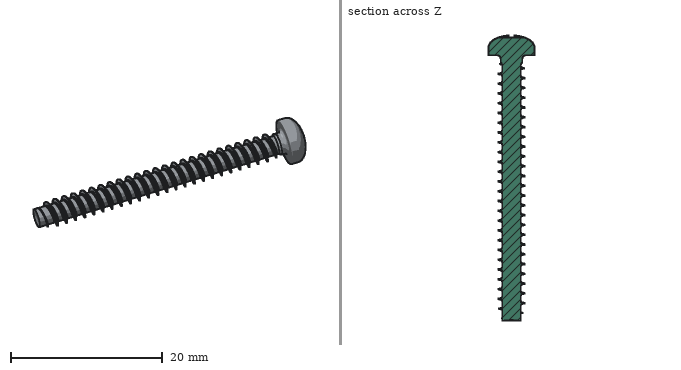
import cadquery as cq
import math

length = 37.63

head_radius = 3.05
head_height = 2.67
dome_height = 1.65
head_edge_radius = 0.08

slot_width = 0.75
slot_depth = 0.25

neck_diameter = 2.9
neck_length = 0.85
neck_fillet = 0.45
neck_taper_length = 0.35

core_radius = 1.25
tip_dimple_depth = 0.1

first_full_crest = 4.75
last_full_crest = 35.67
full_turns = 24
run_in_turns = 1.7
run_out_turns = 1.4
crest_radius = 1.75
crest_half_width = 0.05
knee_height = 0.08
knee_half_width = 0.13
root_half_width = 0.45
root_overlap = 0.055
faded_height = 0.02
faded_half_width = 0.05

neck_radius = neck_diameter / 2
thread_pitch = (last_full_crest - first_full_crest) / full_turns
root_radius = core_radius - root_overlap

slot_corner_radius = slot_width / math.sqrt(2)
lost_crown = dome_height * (1 - math.sqrt(1 - (slot_corner_radius / head_radius) ** 2))
tip_depth = length + lost_crown


def make_body():
    """Head, neck and core, revolved about the local Z axis (dome at 0, tip at tip_depth)."""
    neck_end = head_height + neck_length
    edge_bulge = head_edge_radius * (1 - math.sqrt(0.5))
    fillet_bulge = neck_fillet * (1 - math.sqrt(0.5))

    profile = (
        cq.Workplane("XZ")
        .moveTo(head_radius, dome_height)
        .lineTo(head_radius, head_height - head_edge_radius)
        .threePointArc(
            (head_radius - edge_bulge, head_height - edge_bulge),
            (head_radius - head_edge_radius, head_height),
        )
        .lineTo(neck_radius + neck_fillet, head_height)
        .threePointArc(
            (neck_radius + fillet_bulge, head_height + fillet_bulge),
            (neck_radius, head_height + neck_fillet),
        )
        .lineTo(neck_radius, neck_end)
        .lineTo(core_radius, neck_end + neck_taper_length)
        .lineTo(core_radius, tip_depth)
        .lineTo(0, tip_depth - tip_dimple_depth)
        .lineTo(0, 0)
        .ellipseArc(head_radius, dome_height, 270, 360, startAtCurrent=True)
        .close()
    )
    return profile.revolve(360, (0, 0, 0), (0, 1, 0))


def cut_cross_slots(body):
    """Two crossed slots over the top of the dome."""
    for size in ((2 * head_radius, slot_width), (slot_width, 2 * head_radius)):
        body = body.cut(cq.Workplane("XY").rect(*size).extrude(lost_crown + slot_depth))
    return body


def full_section():
    """Thread section as (radius, axial offset) points around its outline."""
    knee_radius = core_radius + knee_height
    return [
        (root_radius, -root_half_width),
        (knee_radius, -knee_half_width),
        (crest_radius, -crest_half_width),
        (crest_radius, crest_half_width),
        (knee_radius, knee_half_width),
        (root_radius, root_half_width),
    ]


def faded_section():
    """The full section shrunk to a sliver inside the core."""
    height_ratio = faded_height / (crest_radius - root_radius)
    width_ratio = faded_half_width / root_half_width
    return [
        (root_radius + (radius - root_radius) * height_ratio, offset * width_ratio)
        for radius, offset in full_section()
    ]


def helix_edge(start_turn, end_turn, start_point, end_point):
    """Helix between two section points; turn 0 is the first full crest."""
    start_radius, start_offset = start_point
    end_radius, end_offset = end_point
    turns = end_turn - start_turn
    start_depth = first_full_crest + start_turn * thread_pitch + start_offset
    rise = turns * thread_pitch + end_offset - start_offset
    cone_angle = math.atan2(end_radius - start_radius, rise)
    slant = rise / math.cos(cone_angle)
    helix = cq.Wire.makeHelix(
        slant / turns,
        slant,
        start_radius,
        center=cq.Vector(0, 0, start_depth),
        angle=math.degrees(cone_angle) or 360,
    )
    return helix.rotate(cq.Vector(0, 0, 0), cq.Vector(0, 0, 1), 360 * start_turn).Edges()[0]


def thread_part(start_turn, end_turn, start_section, end_section):
    """Solid thread between two sections."""
    edges = [
        helix_edge(start_turn, end_turn, start, end)
        for start, end in zip(start_section, end_section)
    ]
    sides = [
        cq.Face.makeRuledSurface(edge, next_edge)
        for edge, next_edge in zip(edges, edges[1:] + edges[:1])
    ]
    caps = []
    for position in (0, 1):
        corners = [edge.positionAt(position) for edge in edges]
        caps.append(cq.Face.makeFromWires(cq.Wire.makePolygon(corners, close=True)))
    return cq.Solid.makeSolid(cq.Shell.makeShell(sides + caps))


full = full_section()
faded = faded_section()
thread_parts = [
    thread_part(-run_in_turns, 0, faded, full),
    thread_part(0, full_turns, full, full),
    thread_part(full_turns, full_turns + run_out_turns, full, faded),
]

screw = cut_cross_slots(make_body())
for part in thread_parts:
    screw = screw.union(cq.Workplane(part))

lying = cq.Plane(origin=(0, tip_depth, 0), xDir=(0, 0, 1), normal=(0, -1, 0))
result = cq.Workplane(screw.val().moved(cq.Location(lying)))